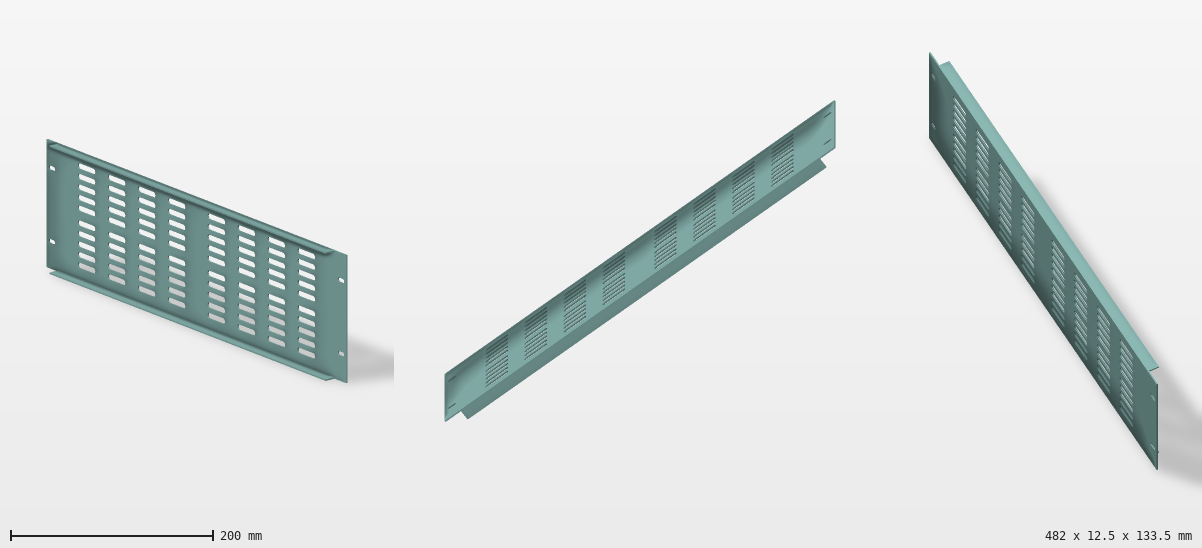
import cadquery as cq
import math

sheet_width = 482.0
sheet_height = 133.0
sheet_thickness = 1.5

overall_height = 133.5
overall_depth = 12.5
flange_length = 444.0

vent_length = 28.0
vent_height = 6.0
vent_columns_per_side = 4
vent_column_pitch = 48.25
vent_first_column = 31.9
vent_rows_per_half = 5
vent_row_pitch = 10.95
vent_first_row = 7.75

mount_length = 10.0
mount_height = 4.5
mount_spacing_x = 465.0
mount_spacing_z = 76.2

sheet_back = overall_depth / 2
sheet_front = sheet_back - sheet_thickness
flange_tip = -overall_depth / 2


def make_sheet():
    sheet = cq.Workplane("XY").box(sheet_width, sheet_thickness, sheet_height)
    return sheet.translate((0, sheet_back - sheet_thickness / 2, 0))


def make_top_flange():
    """Splayed flange rising from the sheet's top edge to the full height at its tip."""
    root_top = sheet_height / 2
    tip_top = overall_height / 2
    splay_angle = math.atan2(tip_top - root_top, sheet_front - flange_tip)
    upright_thickness = sheet_thickness / math.cos(splay_angle)
    profile = [
        (sheet_back, root_top),
        (sheet_front, root_top),
        (flange_tip, tip_top),
        (flange_tip, tip_top - upright_thickness),
        (sheet_front, root_top - upright_thickness),
        (sheet_back, root_top - upright_thickness),
    ]
    return cq.Workplane("YZ").polyline(profile).close().extrude(flange_length / 2, both=True)


def mirrored(first, pitch=0, count=1):
    """Positions stepping outwards from the centre, on both sides of it."""
    outward = [first + pitch * i for i in range(count)]
    return [side * place for side in (-1, 1) for place in outward]


def slot_cutter(columns, rows, length, height):
    """Round-ended horizontal slots along Y, centred at every column (x) and row (z)."""
    centres = [(x, z) for x in columns for z in rows]
    slots = cq.Workplane("XZ").pushPoints(centres).slot2D(length, height)
    return slots.extrude(overall_depth, both=True)


top_flange = make_top_flange()
bottom_flange = top_flange.mirror("XY")

vents = slot_cutter(
    mirrored(vent_first_column, vent_column_pitch, vent_columns_per_side),
    mirrored(vent_first_row, vent_row_pitch, vent_rows_per_half),
    vent_length,
    vent_height,
)
mounts = slot_cutter(
    mirrored(mount_spacing_x / 2),
    mirrored(mount_spacing_z / 2),
    mount_length,
    mount_height,
)

result = make_sheet().union(top_flange).union(bottom_flange).cut(vents).cut(mounts)